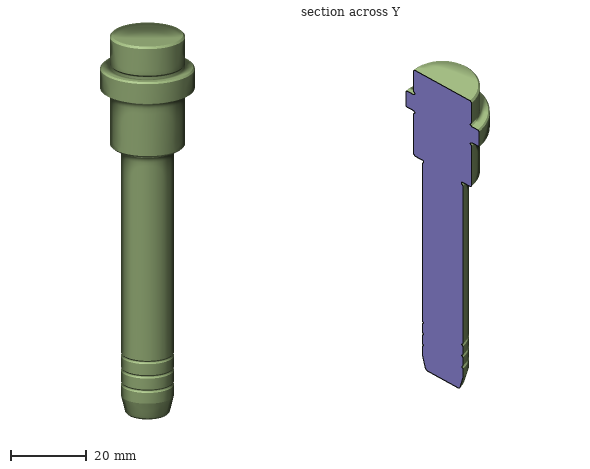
import cadquery as cq

total_length = 106.0
head_radius = 10.0
flange_radius = 12.5
shank_radius = 7.0
tip_radius = 5.9

flange_top = 97.0
flange_bottom = 91.1
body_bottom = 74.9
taper_height = 5.0

edge_chamfer = 0.5
flange_chamfer = 0.4
relief_width = 1.1
relief_depth = 0.5
relief_corner_run = 0.4
neck_depth = 0.4
tip_chamfer = 0.5

groove_count = 3
groove_pitch = 4.0
first_groove_height = 8.5
groove_width = 1.0
groove_depth = 0.4


def turned_blank():
    """Revolve the stepped pin about the Z axis, from tip to head."""
    profile = (
        cq.Workplane("XZ")
        .moveTo(0, 0)
        .lineTo(tip_radius - tip_chamfer, 0)
        .lineTo(tip_radius, tip_chamfer)
        .lineTo(shank_radius, taper_height)
        .lineTo(shank_radius, body_bottom)
        .lineTo(head_radius - edge_chamfer, body_bottom)
        .lineTo(head_radius, body_bottom + edge_chamfer)
        .lineTo(head_radius, flange_bottom)
        .lineTo(flange_radius, flange_bottom)
        .lineTo(flange_radius, flange_top - flange_chamfer)
        .lineTo(flange_radius - flange_chamfer, flange_top)
        .lineTo(head_radius, flange_top)
        .lineTo(head_radius, total_length - edge_chamfer)
        .lineTo(head_radius - edge_chamfer, total_length)
        .lineTo(0, total_length)
        .close()
    )
    return profile.revolve(360, (0, 0, 0), (0, 1, 0))


def ring_cutter(radius, bottom, width, depth, slope_bottom=0.0, slope_top=0.0):
    """Make a ring-shaped groove; each slope is the axial run of one groove wall."""
    top = bottom + width
    floor = radius - depth
    profile = (
        cq.Workplane("XZ")
        .moveTo(radius, bottom)
        .lineTo(floor, bottom + slope_bottom)
        .lineTo(floor, top - slope_top)
        .lineTo(radius, top)
        .close()
    )
    return profile.revolve(360, (0, 0, 0), (0, 1, 0))


result = turned_blank()

result = result.cut(ring_cutter(
    head_radius, flange_top, relief_width, relief_depth,
    slope_bottom=relief_corner_run, slope_top=relief_depth))
result = result.cut(ring_cutter(
    head_radius, flange_bottom - relief_width, relief_width, relief_depth,
    slope_bottom=relief_depth, slope_top=relief_corner_run))

result = result.cut(ring_cutter(
    shank_radius, body_bottom - relief_width, relief_width, neck_depth, slope_bottom=neck_depth))

for index in range(groove_count):
    groove_center = first_groove_height + index * groove_pitch
    result = result.cut(ring_cutter(
        shank_radius, groove_center - groove_width / 2, groove_width, groove_depth,
        slope_bottom=groove_depth, slope_top=groove_depth))